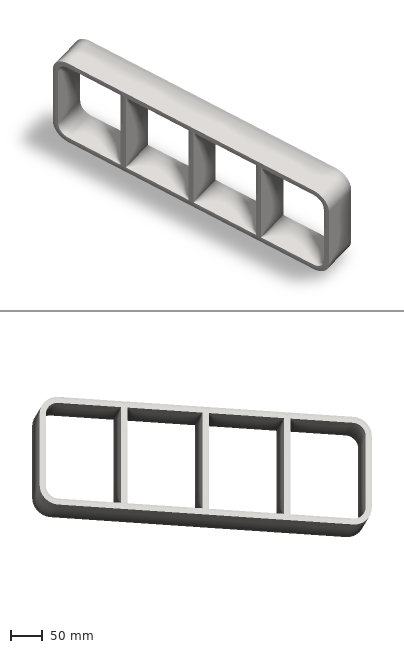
import cadquery as cq

length = 532.0
depth = 60.0
height = 179.5

wall = 10.0
compartment_count = 4
outer_radius = 30.0
inner_radius = outer_radius - wall

inner_length = length - 2 * wall
inner_height = height - 2 * wall
compartment_length = (inner_length - (compartment_count - 1) * wall) / compartment_count
divider_pitch = compartment_length + wall


def rounded_block(block_length, block_height, corner_radius):
    """Block centred on the origin, with the edges along Y rounded."""
    block = cq.Workplane("XY").box(block_length, depth, block_height)
    return block.edges("|Y").fillet(corner_radius)


def make_frame():
    """Rounded rectangular ring, open at both Y ends."""
    outside = rounded_block(length, height, outer_radius)
    opening = rounded_block(inner_length, inner_height, inner_radius)
    return outside.cut(opening)


def make_divider(x_position):
    """Upright wall reaching halfway into the top and bottom of the frame."""
    divider_height = inner_height + wall
    divider = cq.Workplane("XY").box(wall, depth, divider_height)
    return divider.translate((x_position, 0, 0))


result = make_frame()
divider_count = compartment_count - 1
for index in range(divider_count):
    divider_x = (index - (divider_count - 1) / 2) * divider_pitch
    result = result.union(make_divider(divider_x))
result = result.clean()